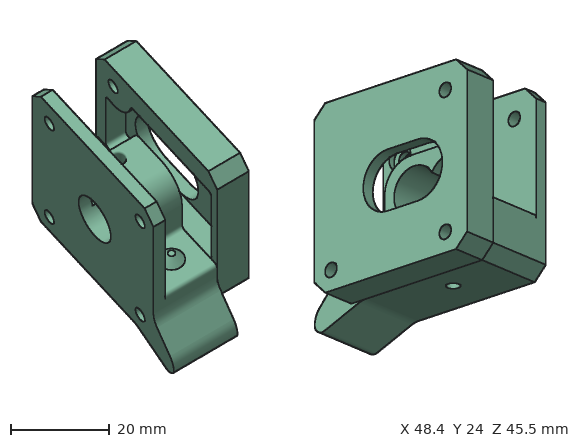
import cadquery as cq
import math


left_x = -21.38
right_x = 20.0
top_z = 21.38
bottom_z = -20.0
corner_chamfer = 3.0

plate_thickness = 3.0
block_depth = 13.0
frame_depth = 8.0
block_back_y = plate_thickness + block_depth
frame_back_y = block_back_y + frame_depth
block_middle_y = plate_thickness + block_depth / 2

bolt_offset = 15.48
bolt_diameter = 3.2
bolt_head_diameter = 5.8
bolt_head_depth = plate_thickness / 2

bore_diameter = 11.0
bore_radius = bore_diameter / 2
filament_x = -4.75
filament_diameter = 3.0
filament_mouth_radius = 0.55
idler_x = 2 * filament_x

floor_z = -6.65
floor_edge_radius = 1.0
post_half = 8.05
post_shoulder_radius = 7.0
post_foot_radius = 1.0
nose_radius = 1.6
swing_start_x = -15.48

seat_x = 13.3
seat_base_diameter = 5.5
seat_tip_diameter = 1.55
seat_height = (seat_base_diameter - seat_tip_diameter) / 2

lever_tip_x = 27.0
lever_bottom_z = -24.1
lever_tip_radius = 2.0
lever_back_radius = 5.25
lever_root_radius = 4.85
lever_upper_angle = 48
lever_lower_angle = 21

pocket_depth = 5.05
pocket_half_width = 18.05
pocket_top_z = 15
pocket_corner_radius = 1.0
bolt_boss_radius = 6.0
slot_half_height = 6.7
slot_left_x = -8.0

pick_margin = 0.05


def section_at(y):
    """Sketch plane at depth y with X to the right and Z up; its normal points toward -Y."""
    return cq.Workplane(cq.Plane(origin=(0, y, 0), xDir=(1, 0, 0), normal=(0, -1, 0)))


def cylinder_y(x, z, diameter, y_start, y_end):
    return section_at(y_start).center(x, z).circle(diameter / 2).extrude(y_start - y_end)


def square_slab(y_start, y_end):
    return (
        section_at(y_start)
        .center((left_x + right_x) / 2, (top_z + bottom_z) / 2)
        .rect(right_x - left_x, top_z - bottom_z)
        .extrude(y_start - y_end)
    )


def polar(center, radius, degrees):
    """Point at the given angle on a circle."""
    angle = math.radians(degrees)
    return (center[0] + radius * math.cos(angle), center[1] + radius * math.sin(angle))


def fillet_depth_edge(body, x, z, radius):
    """Round the edge that runs along Y at (x, z)."""
    spot = cq.selectors.BoxSelector(
        (x - pick_margin, 0, z - pick_margin),
        (x + pick_margin, frame_back_y, z + pick_margin),
    )
    return body.edges("|Y").edges(spot).fillet(radius)


def drill_bolts(body, corners, y_start, y_end):
    for x_sign, z_sign in corners:
        hole = cylinder_y(x_sign * bolt_offset, z_sign * bolt_offset, bolt_diameter, y_start, y_end)
        body = body.cut(hole)
    return body




def front_plate():
    """Square plate, chamfered except at the corner where the lever grows out of it."""
    return square_slab(0, plate_thickness).edges("|Y").edges("<X or >Z").chamfer(corner_chamfer)


def block():
    """Base and central post behind the plate, with the idler pocket opening to the left."""
    swing_run = idler_x - swing_start_x
    swing_radius = (swing_run**2 + floor_z**2 - bore_radius**2) / (-2 * (floor_z + bore_radius))
    swing_center = (swing_start_x, floor_z + swing_radius)
    swing_sweep = math.degrees(math.asin(swing_run / (swing_radius - bore_radius)))
    swing_end = polar(swing_center, swing_radius, -90 + swing_sweep)
    swing_middle = polar(swing_center, swing_radius, -90 + swing_sweep / 2)

    nose_z = post_half - nose_radius
    nose_reach = math.sqrt((bore_radius + nose_radius) ** 2 - nose_z**2)
    nose_center = (idler_x + nose_reach, nose_z)
    nose_end_angle = 180 + math.degrees(math.atan2(nose_z, nose_reach))
    nose_end = polar(nose_center, nose_radius, nose_end_angle)
    nose_middle = polar(nose_center, nose_radius, (90 + nose_end_angle) / 2)

    body = (
        section_at(plate_thickness)
        .moveTo(left_x, bottom_z + corner_chamfer)
        .lineTo(left_x, floor_z)
        .lineTo(swing_start_x, floor_z)
        .threePointArc(swing_middle, swing_end)
        .lineTo(filament_x, 0)
        .lineTo(*nose_end)
        .threePointArc(nose_middle, (nose_center[0], post_half))
        .lineTo(post_half, post_half)
        .lineTo(post_half, floor_z)
        .lineTo(right_x, floor_z)
        .lineTo(right_x, bottom_z)
        .lineTo(left_x + corner_chamfer, bottom_z)
        .close()
        .extrude(-block_depth)
    )
    body = fillet_depth_edge(body, post_half, post_half, post_shoulder_radius)
    body = fillet_depth_edge(body, post_half, floor_z, post_foot_radius)
    for x in (left_x, right_x):
        body = fillet_depth_edge(body, x, floor_z, floor_edge_radius)
    return body.cut(cylinder_y(idler_x, 0, bore_diameter, plate_thickness, block_back_y))


def add_lever(body):
    """Tapered finger at the lower right corner, blended into the square sides."""
    tip_center = (lever_tip_x - lever_tip_radius, lever_bottom_z + lever_tip_radius)
    tip_end_angle = -90 - lever_lower_angle
    tip_end = polar(tip_center, lever_tip_radius, tip_end_angle)
    tip_middle = polar(tip_center, lever_tip_radius, tip_end_angle / 2)

    back_center = (lever_tip_x - lever_back_radius, tip_center[1])
    back_angle = 90 - lever_upper_angle
    back_start = polar(back_center, lever_back_radius, back_angle)
    back_middle = polar(back_center, lever_back_radius, back_angle / 2)

    upper_root_z = back_start[1] + (back_start[0] - right_x) * math.tan(math.radians(lever_upper_angle))
    lower_root_x = tip_end[0] - (bottom_z - tip_end[1]) / math.tan(math.radians(lever_lower_angle))

    arm = (
        section_at(0)
        .moveTo(right_x, upper_root_z)
        .lineTo(*back_start)
        .threePointArc(back_middle, (lever_tip_x, tip_center[1]))
        .threePointArc(tip_middle, tip_end)
        .lineTo(lower_root_x, bottom_z)
        .lineTo(lower_root_x, upper_root_z)
        .close()
        .extrude(-block_back_y)
    )
    body = body.union(arm).clean()
    body = fillet_depth_edge(body, right_x, upper_root_z, lever_root_radius)
    return fillet_depth_edge(body, lower_root_x, bottom_z, lever_root_radius)


def spring_seat():
    base = cq.Vector(seat_x, block_middle_y, floor_z)
    return cq.Workplane(cq.Solid.makeCone(seat_base_diameter / 2, seat_tip_diameter / 2, seat_height, base))


def cut_filament_path(body):
    """Vertical hole through post and base, rounded where it leaves the post top."""
    hole = (
        cq.Workplane("XY", origin=(filament_x, block_middle_y, bottom_z))
        .circle(filament_diameter / 2)
        .extrude(post_half - bottom_z)
    )
    reach = filament_diameter
    mouth = cq.selectors.BoxSelector(
        (filament_x - reach, block_middle_y - reach, post_half - filament_mouth_radius),
        (filament_x + reach, block_middle_y + reach, post_half + filament_mouth_radius),
    )
    return body.cut(hole).edges(mouth).fillet(filament_mouth_radius)


def make_housing():
    body = add_lever(front_plate().union(block()))
    body = body.union(spring_seat())
    body = body.cut(cylinder_y(0, 0, bore_diameter, 0, block_back_y))
    body = cut_filament_path(body)
    body = drill_bolts(body, [(-1, -1), (-1, 1), (1, -1), (1, 1)], 0, block_back_y)
    head_start_y = plate_thickness - bolt_head_depth
    head = cylinder_y(bolt_offset, bolt_offset, bolt_head_diameter, head_start_y, plate_thickness)
    return body.cut(head)




def make_frame():
    """Chamfered square with a front pocket, a motor slot through its floor and three bolt holes."""
    pocket_end_y = block_back_y + pocket_depth
    boss = cylinder_y(-bolt_offset, bolt_offset, 2 * bolt_boss_radius, block_back_y, pocket_end_y)
    pocket = (
        section_at(block_back_y)
        .center(0, (pocket_top_z - slot_half_height) / 2)
        .rect(2 * pocket_half_width, pocket_top_z + slot_half_height)
        .extrude(-pocket_depth)
        .cut(boss)
        .edges("|Y")
        .fillet(pocket_corner_radius)
    )
    slot = (
        section_at(pocket_end_y)
        .center(slot_left_x / 2, 0)
        .slot2D(2 * slot_half_height - slot_left_x, 2 * slot_half_height)
        .extrude(pocket_end_y - frame_back_y)
    )
    body = square_slab(block_back_y, frame_back_y).edges("|Y").chamfer(corner_chamfer)
    body = body.cut(pocket).cut(slot)
    return drill_bolts(body, [(-1, -1), (-1, 1), (1, -1)], block_back_y, frame_back_y)


housing = make_housing().solids()
frame = make_frame().solids()
result = cq.Compound.makeCompound([housing.val(), frame.val()])